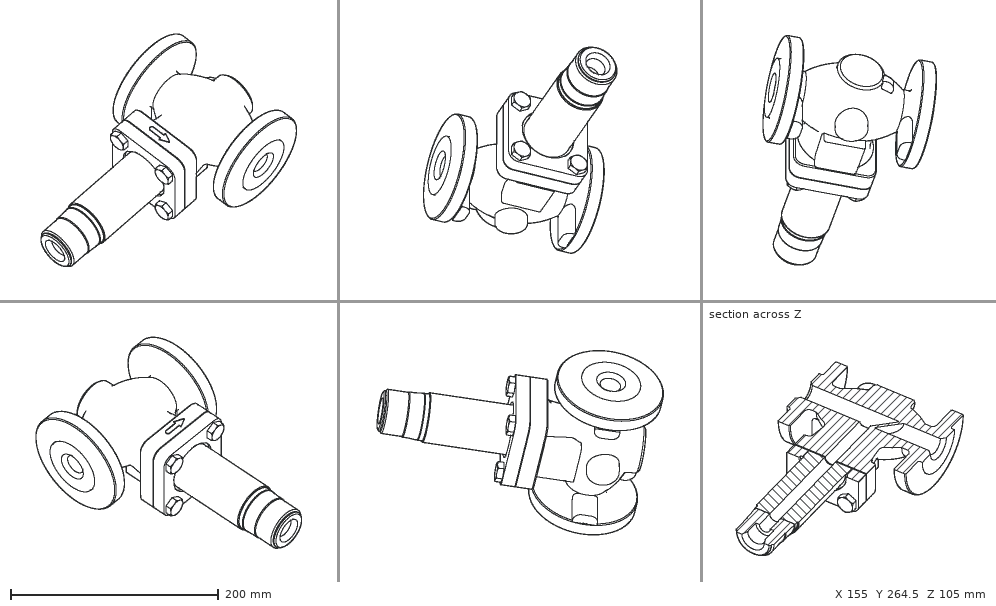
import cadquery as cq
import math


overall_length = 264.5

face_x = 77.5
flange_back_x = 59.3
flange_thickness = 14.0
flange_radius = 105.0 / 2
flange_chamfer = 1.0
raised_face_radius = 29.0
raised_face_fillet = 1.9
neck_radius = 21.2
neck_fillet = 4.8

barrel_end_x = 49.0
barrel_radius = 37.5
boss_end_y = 45.0
boss_root_radius = 25.1
boss_rim_radius = 23.5
boss_rim_chamfer = 2.5
throat_radius = 30.2
throat_end_radius = 34.0
throat_end_y = -50.3
throat_fillet = 4.2
throat_blend = 5.8
boss_blend = 3.2
drain_y = 6.5
drain_radius = 16.0
drain_end_z = -45.2
drain_fillet = 2.0
lug_x = -24.3
lug_y = 33.5
lug_radius = 10.3
lug_height = 8.0
rib_half_width = 20.6
rib_end_y = -18.5
rib_fillet = 2.5
foot_width = 24.5
foot_depth = 10.5
foot_corner_radius = 8.0

square_side = 82.5
square_corner_radius = 10.5
square_back_y = -54.8
square_back_chamfer = 1.3
joint_y = -72.2
gasket_thickness = 0.8
cover_y = joint_y - gasket_thickness
cover_front_y = -86.5
arrow_y = -63.8
arrow_half_length = 12.7
arrow_shaft_half_width = 2.5
arrow_head_x = 3.2
arrow_head_half_width = 4.8
arrow_height = 0.8
arrow_tip_half_width = 0.8

bolt_offset = 29.6
bolt_across_flats = 17.2
bolt_head_height = 6.4
bolt_chamfer = 0.8
bolt_shank_radius = 5.0
bolt_tip_y = -59.5

tube_radius = 24.3
tube_shoulder_y = -168.0
tube_shoulder_chamfer = 0.8
tube_neck_radius = 23.0
tube_end_y = -172.3
recess_radius = 27.0
recess_depth = 2.6
relief_radius = 22.5
relief_width = 0.8
adapter_taper_end_y = -181.3
adapter_collar_radius = 22.2
adapter_collar_end_y = -187.3
adapter_collar_chamfer = 1.0
adapter_body_radius = 21.7
adapter_body_end_y = -208.2
adapter_tip_radius = 19.8
adapter_end_y = flange_radius - overall_length
adapter_tip_chamfer = 1.3

flow_bore_radius = 10.0
flow_mouth_radius = 14.3
flow_mouth_depth = 4.2
wall_x = 18.5
wall_thickness = 4.0
stem_bore_radius = 6.0
socket_mouth_radius = 12.7
socket_mouth_depth = 6.4
socket_radius = 10.0
socket_depth = 21.2


def cylinder_y(radius, y_start, y_end, x=0, z=0):
    """Cylinder along Y between two stations."""
    length = y_end - y_start
    return cq.Workplane(cq.Solid.makeCylinder(radius, length, cq.Vector(x, y_start, z), cq.Vector(0, 1, 0)))


def turned_y(profile):
    """Solid of revolution about Y from (radius, y) points."""
    return cq.Workplane("XY").polyline(profile).close().revolve(360, (0, 0), (0, 1))


def square_plate(y_start, y_end):
    """Round-cornered square plate between two Y stations."""
    return (
        cq.Workplane("XZ", origin=(0, y_end, 0))
        .rect(square_side, square_side)
        .extrude(y_end - y_start)
        .edges("|Y")
        .fillet(square_corner_radius)
    )


def bolt_places():
    return [(x, z) for x in (-bolt_offset, bolt_offset) for z in (-bolt_offset, bolt_offset)]


def drill_bolt_holes(body):
    for x, z in bolt_places():
        body = body.cut(cylinder_y(bolt_shank_radius, cover_front_y, bolt_tip_y, x, z))
    return body


def make_barrel():
    """Bulged barrel with the cylindrical pipe necks, turned about X."""
    return (
        cq.Workplane("XZ")
        .moveTo(-flange_back_x, 0)
        .lineTo(-flange_back_x, neck_radius)
        .lineTo(-barrel_end_x, neck_radius)
        .threePointArc((0, barrel_radius), (barrel_end_x, neck_radius))
        .lineTo(flange_back_x, neck_radius)
        .lineTo(flange_back_x, 0)
        .close()
        .revolve(360, (0, 0), (1, 0))
    )


def make_pipe_flange():
    """Flange on the -X side, with neck fillet and raised sealing face."""
    rim_x = -flange_back_x - flange_thickness
    neck_fillet_x = neck_fillet - flange_back_x
    quarter = 1 - math.sqrt(0.5)
    profile = (
        cq.Workplane("XY")
        .moveTo(-face_x, 0)
        .lineTo(-face_x, raised_face_radius)
        .lineTo(rim_x - raised_face_fillet, raised_face_radius)
        .threePointArc(
            (rim_x - quarter * raised_face_fillet, raised_face_radius + quarter * raised_face_fillet),
            (rim_x, raised_face_radius + raised_face_fillet),
        )
        .lineTo(rim_x, flange_radius - flange_chamfer)
        .lineTo(rim_x + flange_chamfer, flange_radius)
        .lineTo(-flange_back_x - flange_chamfer, flange_radius)
        .lineTo(-flange_back_x, flange_radius - flange_chamfer)
        .lineTo(-flange_back_x, neck_radius + neck_fillet)
        .threePointArc(
            (-flange_back_x + quarter * neck_fillet, neck_radius + quarter * neck_fillet),
            (neck_fillet_x, neck_radius),
        )
        .lineTo(neck_fillet_x, 0)
        .close()
    )
    return profile.revolve(360, (0, 0), (1, 0))


def make_foot():
    """Support foot under the -X neck, standing against the flange."""
    return (
        cq.Workplane("XY", origin=(-flange_back_x + foot_depth / 2, 0, -flange_radius))
        .rect(foot_depth, foot_width)
        .extrude(flange_radius)
        .edges("|Z and >X")
        .fillet(foot_corner_radius)
    )


def make_boss():
    """Tapered round boss closing the barrel on the +Y side."""
    return turned_y([
        (0, 0),
        (boss_root_radius, 0),
        (boss_rim_radius, boss_end_y - boss_rim_chamfer),
        (boss_rim_radius - boss_rim_chamfer, boss_end_y),
        (0, boss_end_y),
    ])


def make_throat():
    """Flared throat from the barrel to the square flange, ending in a fillet."""
    fillet_bulge = throat_fillet * (1 - math.sqrt(0.5))
    fillet_end_radius = throat_end_radius + throat_fillet
    return (
        cq.Workplane("XY")
        .lineTo(throat_radius, 0)
        .lineTo(throat_radius, -neck_radius)
        .lineTo(throat_end_radius, throat_end_y)
        .threePointArc(
            (throat_end_radius + fillet_bulge, throat_end_y - throat_fillet + fillet_bulge),
            (fillet_end_radius, throat_end_y - throat_fillet),
        )
        .lineTo(fillet_end_radius, square_back_y)
        .lineTo(0, square_back_y)
        .close()
        .revolve(360, (0, 0), (0, 1))
    )


def joint_box(half_width, y_start, y_end):
    """Selector for edges lying wholly in a box around the stem axis."""
    return cq.selectors.BoxSelector(
        (-half_width, y_start, -half_width),
        (half_width, y_end, half_width),
        boundingbox=True,
    )


def make_blended_barrel():
    """Barrel with the boss and throat, filleted where they leave the barrel."""
    barrel = make_barrel().union(make_boss()).union(make_throat())
    boss_joint = joint_box(boss_root_radius + 2.6, barrel_radius / 2, barrel_radius)
    throat_joint = joint_box(throat_end_radius, -barrel_radius, -barrel_radius / 2)
    return barrel.edges(boss_joint).fillet(boss_blend).edges(throat_joint).fillet(throat_blend)


def make_rib():
    """Flat-sided rib under the throat, level with the square flange."""
    return (
        cq.Workplane("XY", origin=(0, (rib_end_y + square_back_y) / 2, -square_side / 2))
        .rect(2 * rib_half_width, rib_end_y - square_back_y)
        .extrude(square_side / 2)
        .edges("|Y and <Z")
        .fillet(rib_fillet)
    )


def make_drain_boss():
    return (
        cq.Workplane("XY", origin=(0, drain_y, drain_end_z))
        .circle(drain_radius)
        .extrude(-drain_end_z)
        .faces("<Z")
        .edges()
        .fillet(drain_fillet)
    )


def make_lug():
    """Flat-topped round lug beside the +Y boss."""
    return (
        cq.Workplane("XY", origin=(lug_x, lug_y, -lug_height))
        .circle(lug_radius)
        .extrude(lug_height)
    )


def make_arrow():
    """Raised flow arrow on top of the square flange."""
    shaft_start_x = arrow_shaft_half_width - arrow_half_length
    return (
        cq.Workplane("XY", origin=(0, arrow_y, square_side / 2))
        .moveTo(shaft_start_x, arrow_shaft_half_width)
        .lineTo(arrow_head_x, arrow_shaft_half_width)
        .lineTo(arrow_head_x, arrow_head_half_width)
        .lineTo(arrow_half_length - arrow_tip_half_width, arrow_tip_half_width)
        .threePointArc(
            (arrow_half_length, 0),
            (arrow_half_length - arrow_tip_half_width, -arrow_tip_half_width),
        )
        .lineTo(arrow_head_x, -arrow_head_half_width)
        .lineTo(arrow_head_x, -arrow_shaft_half_width)
        .lineTo(shaft_start_x, -arrow_shaft_half_width)
        .threePointArc((-arrow_half_length, 0), (shaft_start_x, arrow_shaft_half_width))
        .close()
        .extrude(arrow_height)
    )


def make_flow_passage():
    """Flow bore with flared mouths, split by an oblique partition wall."""
    mouth_x = face_x - flow_mouth_depth
    bore = (
        cq.Workplane("XY")
        .polyline([
            (-face_x, 0),
            (-face_x, flow_mouth_radius),
            (-mouth_x, flow_bore_radius),
            (mouth_x, flow_bore_radius),
            (face_x, flow_mouth_radius),
            (face_x, 0),
        ])
        .close()
        .revolve(360, (0, 0), (1, 0))
    )
    wall = (
        cq.Workplane("XY")
        .box(wall_thickness, 4 * flow_bore_radius, 4 * flow_bore_radius)
        .rotate((0, 0, 0), (0, 0, 1), -45)
        .translate((wall_x, 0, 0))
    )
    return bore.cut(wall)


def make_housing():
    square = (
        square_plate(joint_y, square_back_y)
        .faces(">Y")
        .chamfer(square_back_chamfer)
    )
    casting = make_blended_barrel().union(square)
    for detail in (make_rib(), make_drain_boss(), make_lug(), make_arrow()):
        casting = casting.union(detail)
    for pipe_end in (make_foot(), make_pipe_flange()):
        casting = casting.union(pipe_end).union(pipe_end.mirror("YZ"))
    casting = casting.cut(make_flow_passage())
    casting = casting.cut(cylinder_y(stem_bore_radius, joint_y, 0))
    return drill_bolt_holes(casting)


def make_gasket():
    gasket = square_plate(cover_y, joint_y)
    return drill_bolt_holes(gasket.cut(cylinder_y(stem_bore_radius, cover_y, joint_y)))


def make_cover():
    """Square cover with the tube bore and a shallow recess around the tube."""
    cover = square_plate(cover_front_y, cover_y)
    cover = cover.cut(cylinder_y(tube_radius, cover_front_y, cover_y))
    cover = cover.cut(cylinder_y(recess_radius, cover_front_y, cover_front_y + recess_depth))
    return drill_bolt_holes(cover)


def make_bolt(x, z):
    """Hexagon bolt with the corners of its head turned off."""
    head_end_y = cover_front_y - bolt_head_height
    corner_radius = bolt_across_flats / math.sqrt(3)
    hexagon = (
        cq.Workplane("XZ", origin=(x, cover_front_y, z))
        .polygon(6, 2 * corner_radius)
        .extrude(bolt_head_height)
        .rotate((x, 0, z), (x, 1, z), 30)
    )
    turned_blank = (
        cylinder_y(corner_radius, head_end_y, cover_front_y, x, z)
        .faces("<Y")
        .chamfer(bolt_chamfer, corner_radius - bolt_across_flats / 2)
    )
    return hexagon.intersect(turned_blank).union(
        cylinder_y(bolt_shank_radius, cover_front_y, bolt_tip_y, x, z)
    )


def make_tube():
    """Stem tube with a shouldered end."""
    return turned_y([
        (stem_bore_radius, cover_y),
        (tube_radius, cover_y),
        (tube_radius, tube_shoulder_y + tube_shoulder_chamfer),
        (tube_radius - tube_shoulder_chamfer, tube_shoulder_y),
        (tube_neck_radius, tube_shoulder_y),
        (tube_neck_radius, tube_end_y),
        (stem_bore_radius, tube_end_y),
    ])


def make_adapter():
    """Stepped end adapter with a flared socket."""
    return turned_y([
        (stem_bore_radius, tube_end_y),
        (relief_radius, tube_end_y),
        (relief_radius, tube_end_y - relief_width),
        (tube_neck_radius, tube_end_y - relief_width),
        (adapter_collar_radius, adapter_taper_end_y),
        (adapter_collar_radius, adapter_collar_end_y),
        (adapter_body_radius, adapter_collar_end_y - adapter_collar_chamfer),
        (adapter_body_radius, adapter_body_end_y),
        (adapter_tip_radius, adapter_body_end_y - adapter_tip_chamfer),
        (adapter_tip_radius, adapter_end_y + adapter_tip_chamfer),
        (adapter_tip_radius - adapter_tip_chamfer, adapter_end_y),
        (socket_mouth_radius, adapter_end_y),
        (socket_radius, adapter_end_y + socket_mouth_depth),
        (socket_radius, adapter_end_y + socket_depth),
        (stem_bore_radius, adapter_end_y + socket_depth),
    ])


housing = make_housing()
gasket = make_gasket()
cover = make_cover()
bolts = [make_bolt(x, z) for x, z in bolt_places()]
tube = make_tube()
adapter = make_adapter()

result = cq.Compound.makeCompound([
    housing.val(),
    gasket.val(),
    cover.val(),
    *[bolt.val() for bolt in bolts],
    tube.val(),
    adapter.val(),
])